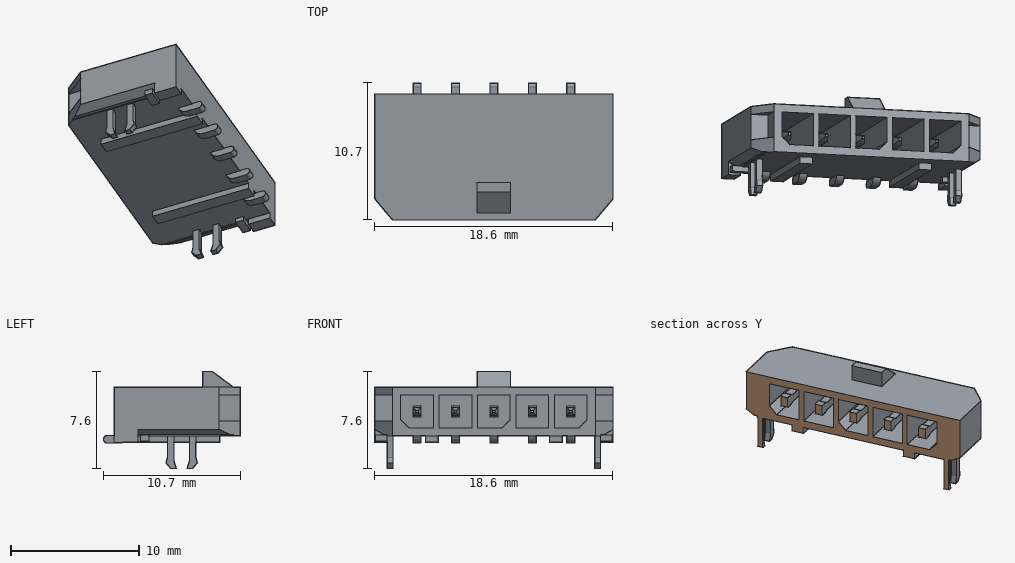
import cadquery as cq

BODY_WIDTH = 18.64
BODY_DEPTH = 9.86
BODY_HEIGHT = 3.8
CORNER_WIDTH = 1.4
CORNER_DEPTH = 1.65

NOTCH_BOTTOM = 1.15
NOTCH_TOP = 3.17

PITCH = 3.0
CAVITY_SIZE = 2.55
CAVITY_DEPTH = 7.83
KEY_CHAMFER = 0.63
CAVITY_KEYS = [-1, 0, 1, 0, 1]
CAVITY_Z = BODY_HEIGHT / 2
CAVITY_X = [(i - (len(CAVITY_KEYS) - 1) / 2) * PITCH for i in range(len(CAVITY_KEYS))]

PIN_WIDTH = 0.63
PIN_TIP = 0.19
PIN_TIP_Y = 2.24
PIN_NOSE_LENGTH = 0.82
PIN_SHAFT_LENGTH = 1.5
PIN_SHOULDER_LENGTH = 0.25
PIN_SHOULDER_HEIGHT = 0.88
PIN_ROOT = 0.37

TAIL_TOP = 0.04
TAIL_THICKNESS = 0.62
TAIL_END_Y = 10.7
TAIL_BEND_Y = 9.45
TAIL_BEND_RADIUS = 0.8

LATCH_WIDTH = 2.61
LATCH_HEIGHT = 1.23
LATCH_FRONT_Y = 0.54
LATCH_CREST_Y = 2.2
LATCH_BACK_Y = 2.95

LEG_OUTER_X = 8.33
LEG_THICKNESS = 0.47
LEG_PAIR_Y = 4.59
LEG_INNER = 0.6
LEG_OUTER = 1.12
BARB_OUT = 1.23
BARB_TOE_OUT = 0.84
BARB_TOE_IN = 0.41
BARB_START_Z = -1.68
BARB_PEAK_Z = -2.12
BARB_INNER_Z = -1.95
LEG_BOTTOM = -2.57

TAB_OUTER_X = 9.25
TAB_FRONT_Y = 7.14
TAB_BACK_Y = 7.8
TAB_BOTTOM = -0.4
TAB_TOP = 0.05

STANDOFF = 0.52
FOOT_FRONT_Y = 8.02
RELIEF_OUTER_Z = 0.5
RELIEF_INNER_Z = 0.1
RELIEF_FLAT_X = 8.61
RELIEF_INNER_X = 8.37
RIB_INNER_X = 4.35
RIB_WIDTH = 1.0
RIB_FRONT_Y = 1.6

SIDES = (-1, 1)


def box(x0, x1, y0, y1, z0, z1):
    """Box between two opposite corners, given in either order along X."""
    return (
        cq.Workplane("XY")
        .box(abs(x1 - x0), y1 - y0, z1 - z0, centered=False)
        .translate((min(x0, x1), y0, z0))
    )


def extrude_along_x(profile, x_start, width):
    """Extrude a closed (Y, Z) profile towards +X."""
    return cq.Workplane("YZ", origin=(x_start, 0, 0)).polyline(profile).close().extrude(width)


def housing():
    """Bevelled block with corner notches, side reliefs, rear feet and underside ribs."""
    half = BODY_WIDTH / 2
    inner = half - CORNER_WIDTH
    outline = [
        (-inner, 0),
        (inner, 0),
        (half, CORNER_DEPTH),
        (half, BODY_DEPTH),
        (-half, BODY_DEPTH),
        (-half, CORNER_DEPTH),
    ]
    body = cq.Workplane("XY").polyline(outline).close().extrude(BODY_HEIGHT)
    for side in SIDES:
        body = body.cut(box(side * half, side * inner, 0, CORNER_DEPTH, NOTCH_BOTTOM, NOTCH_TOP))
        body = body.cut(side_relief(side))
        body = body.union(box(side * half, side * LEG_OUTER_X, FOOT_FRONT_Y, BODY_DEPTH, -STANDOFF, 0))
        rib_outer = RIB_INNER_X + RIB_WIDTH
        body = body.union(box(side * RIB_INNER_X, side * rib_outer, RIB_FRONT_Y, BODY_DEPTH, -STANDOFF, 0))
    return body


def side_relief(side):
    """Sloped relief, ending in a narrow flat, removed from the side edge ahead of the foot."""
    half = BODY_WIDTH / 2
    profile = [
        (side * RELIEF_INNER_X, 0),
        (side * half, 0),
        (side * half, RELIEF_OUTER_Z),
        (side * RELIEF_FLAT_X, RELIEF_INNER_Z),
        (side * RELIEF_INNER_X, RELIEF_INNER_Z),
    ]
    return cq.Workplane("XZ").polyline(profile).close().extrude(-FOOT_FRONT_Y)


def cavity(x, key):
    """Square cavity, with one lower corner bevelled when keyed."""
    half = CAVITY_SIZE / 2
    pocket = box(x - half, x + half, 0, CAVITY_DEPTH, CAVITY_Z - half, CAVITY_Z + half)
    if key:
        side_name = ">X" if key > 0 else "<X"
        pocket = pocket.edges("|Y").edges("<Z").edges(side_name).chamfer(KEY_CHAMFER)
    return pocket


def pin(x):
    """Square pin with a pyramid nose, flaring to a taller root set in the cavity floor."""
    shaft_y = PIN_TIP_Y + PIN_NOSE_LENGTH
    shoulder_y = shaft_y + PIN_SHAFT_LENGTH
    root_y = shoulder_y + PIN_SHOULDER_LENGTH
    nose = (
        cq.Workplane("XZ", origin=(x, PIN_TIP_Y, CAVITY_Z))
        .rect(PIN_TIP, PIN_TIP)
        .workplane(offset=-PIN_NOSE_LENGTH)
        .rect(PIN_WIDTH, PIN_WIDTH)
        .loft(ruled=True)
    )
    shaft = (
        cq.Workplane("XZ", origin=(x, shaft_y, CAVITY_Z))
        .rect(PIN_WIDTH, PIN_WIDTH)
        .extrude(-PIN_SHAFT_LENGTH)
    )
    shoulder = (
        cq.Workplane("XZ", origin=(x, shoulder_y, CAVITY_Z))
        .rect(PIN_WIDTH, PIN_WIDTH)
        .workplane(offset=-PIN_SHOULDER_LENGTH)
        .rect(PIN_WIDTH, PIN_SHOULDER_HEIGHT)
        .loft(ruled=True)
    )
    root_length = CAVITY_DEPTH + PIN_ROOT - root_y
    root = (
        cq.Workplane("XZ", origin=(x, root_y, CAVITY_Z))
        .rect(PIN_WIDTH, PIN_SHOULDER_HEIGHT)
        .extrude(-root_length)
    )
    return nose.union(shaft).union(shoulder).union(root)


def solder_tail(x):
    """Flat tail with a round end, bent up into the underside of the housing."""
    bottom = TAIL_TOP - TAIL_THICKNESS
    end_radius = TAIL_THICKNESS / 2
    bend_z = bottom + TAIL_BEND_RADIUS
    bend_front_y = TAIL_BEND_Y - TAIL_BEND_RADIUS
    inner_radius = TAIL_BEND_RADIUS - TAIL_THICKNESS
    return (
        cq.Workplane("YZ", origin=(x - PIN_WIDTH / 2, 0, 0))
        .moveTo(TAIL_BEND_Y, bottom)
        .lineTo(TAIL_END_Y - end_radius, bottom)
        .threePointArc((TAIL_END_Y, bottom + end_radius), (TAIL_END_Y - end_radius, TAIL_TOP))
        .lineTo(TAIL_BEND_Y, TAIL_TOP)
        .radiusArc((TAIL_BEND_Y - inner_radius, bend_z), inner_radius)
        .lineTo(bend_front_y, bend_z)
        .radiusArc((TAIL_BEND_Y, bottom), -TAIL_BEND_RADIUS)
        .close()
        .extrude(PIN_WIDTH)
    )


def latch():
    """Ramped latch on top of the housing, steep towards the rear."""
    profile = [
        (LATCH_FRONT_Y, BODY_HEIGHT),
        (LATCH_CREST_Y, BODY_HEIGHT + LATCH_HEIGHT),
        (LATCH_BACK_Y, BODY_HEIGHT + LATCH_HEIGHT),
        (LATCH_BACK_Y, BODY_HEIGHT),
    ]
    return extrude_along_x(profile, -LATCH_WIDTH / 2, LATCH_WIDTH)


def board_lock(side):
    """Pair of mirrored barbed legs with a tab pointing outwards behind them."""
    inner_x = LEG_OUTER_X - LEG_THICKNESS
    lock = box(side * inner_x, side * TAB_OUTER_X, TAB_FRONT_Y, TAB_BACK_Y, TAB_BOTTOM, TAB_TOP)
    leg_outline = [
        (LEG_INNER, RELIEF_INNER_Z),
        (LEG_OUTER, RELIEF_INNER_Z),
        (LEG_OUTER, BARB_START_Z),
        (BARB_OUT, BARB_PEAK_Z),
        (BARB_TOE_OUT, LEG_BOTTOM),
        (BARB_TOE_IN, LEG_BOTTOM),
        (LEG_INNER, BARB_INNER_Z),
    ]
    start_x = min(side * inner_x, side * LEG_OUTER_X)
    for facing in (-1, 1):
        profile = [(LEG_PAIR_Y + facing * y, z) for y, z in leg_outline]
        lock = lock.union(extrude_along_x(profile, start_x, LEG_THICKNESS))
    return lock


result = housing().union(latch())
for cavity_x, cavity_key in zip(CAVITY_X, CAVITY_KEYS):
    result = result.cut(cavity(cavity_x, cavity_key))
    result = result.union(pin(cavity_x)).union(solder_tail(cavity_x))
for lock_side in SIDES:
    result = result.union(board_lock(lock_side))